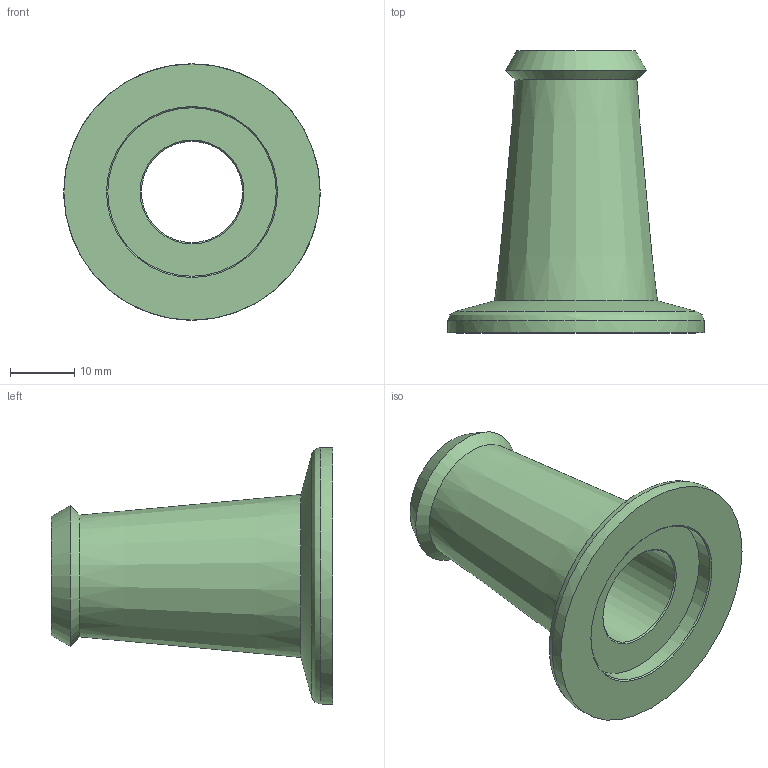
import cadquery as cq
import math


flange_radius = 20.0
flange_cone_angle = math.radians(15.0)
flange_edge_fillet = 1.5
neck_start = 5.0

neck_root_radius = 12.7
neck_tip_radius = 9.5

total_length = 44.0
barb_radius = 11.0
barb_lead_length = 3.0
barb_lead_angle = math.radians(30.0)
barb_back_length = barb_radius - neck_tip_radius

bore_radius = 7.9
recess_radius = 13.15
recess_depth = 2.6
edge_break = 0.2

flange_edge_height = neck_start - (flange_radius - neck_root_radius) * math.tan(flange_cone_angle)
barb_crest = total_length - barb_lead_length
neck_end = barb_crest - barb_back_length
barb_tip_radius = barb_radius - barb_lead_length * math.tan(barb_lead_angle)


def revolve_about_y(profile):
    """Revolve a closed (Y, radius) profile a full turn about the Y axis."""
    return profile.close().revolve(360, (0, 0, 0), (1, 0, 0))


def make_body():
    """Solid outside shape: flange, tapered neck and hose barb."""
    profile = (
        cq.Workplane("YZ")
        .lineTo(0, flange_radius)
        .lineTo(flange_edge_height, flange_radius)
        .lineTo(neck_start, neck_root_radius)
        .lineTo(neck_end, neck_tip_radius)
        .lineTo(barb_crest, barb_radius)
        .lineTo(total_length, barb_tip_radius)
        .lineTo(total_length, 0)
    )
    flange_rims = cq.selectors.RadiusNthSelector(-1)
    return revolve_about_y(profile).edges(flange_rims).edges(">Y").fillet(flange_edge_fillet)


def make_opening():
    """Space removed inside: chamfered centring recess and chamfered through bore."""
    profile = (
        cq.Workplane("YZ")
        .lineTo(0, recess_radius + edge_break)
        .lineTo(edge_break, recess_radius)
        .lineTo(recess_depth, recess_radius)
        .lineTo(recess_depth, bore_radius + edge_break)
        .lineTo(recess_depth + edge_break, bore_radius)
        .lineTo(total_length, bore_radius)
        .lineTo(total_length, 0)
    )
    return revolve_about_y(profile)


result = make_body().cut(make_opening())